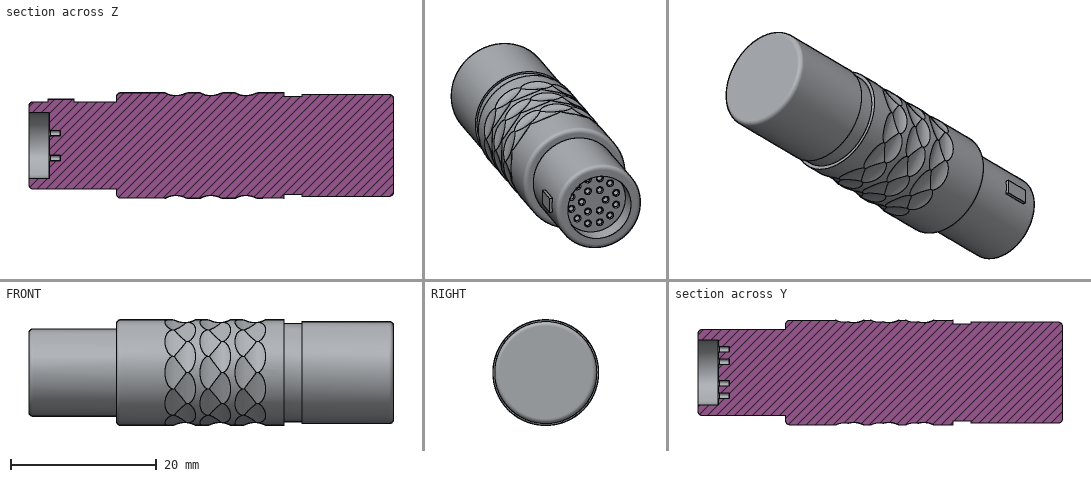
import cadquery as cq
import math

total_length = 50
nose_length = 12
body_end = 35
rear_start = 37.4

nose_radius = 6
body_radius = 7.25
neck_radius = 6.75
rear_radius = 7
nose_rounding = 0.6
edge_rounding = 0.6

socket_radius = 4.5
socket_depth = 2.8
contact_mouth_radius = 0.5
contact_bore_radius = 0.35
contact_mouth_depth = contact_mouth_radius - contact_bore_radius
contact_bore_depth = 1.5
contact_rings = [
    (12, 3.3, 15),
    (6, 1.7, 0),
]

key_start = 2.6
key_end = 6.2
key_width = 2
key_top = 6.35

band_count = 3
band_pitch = 4.8
first_ring_x = 20.15
ring_spacing = 1.2
scallops_per_ring = 10
scallop_depth = 0.4
scallop_cutter_radius = 3
scallop_cutter_length = body_radius


def cylinder_along_x(start, end, radius):
    return cq.Workplane("YZ", origin=(start, 0, 0)).circle(radius).extrude(end - start)


def make_shell():
    nose = cylinder_along_x(0, nose_length, nose_radius).faces("<X").edges().fillet(nose_rounding)
    body = cylinder_along_x(nose_length, body_end, body_radius).faces("<X").edges().fillet(edge_rounding)
    neck = cylinder_along_x(body_end, rear_start, neck_radius)
    rear = cylinder_along_x(rear_start, total_length, rear_radius).faces(">X").edges().fillet(edge_rounding)
    return nose.union(body).union(neck).union(rear)


def make_key():
    root = (socket_radius + nose_radius) / 2
    return cq.Workplane("XY").box(
        key_end - key_start, key_top - root, key_width, centered=(False, False, True)
    ).translate((key_start, root, 0))


def make_grip_cutters():
    cutter_offset = body_radius - scallop_depth + scallop_cutter_radius
    angle_step = 360 / scallops_per_ring
    cutters = []
    for band in range(band_count):
        for ring in range(2):
            ring_x = first_ring_x + band * band_pitch + ring * ring_spacing
            for index in range(scallops_per_ring):
                cutter = cq.Solid.makeCylinder(
                    scallop_cutter_radius,
                    scallop_cutter_length,
                    cq.Vector(ring_x, cutter_offset, -scallop_cutter_length / 2),
                )
                angle = (index + ring / 2) * angle_step
                cutters.append(cutter.rotate(cq.Vector(0, 0, 0), cq.Vector(1, 0, 0), angle))
    return cutters


def make_contact_holes():
    inward = cq.Vector(1, 0, 0)
    holes = []
    for count, pitch_radius, first_angle in contact_rings:
        for index in range(count):
            angle = math.radians(first_angle + index * 360 / count)
            center = cq.Vector(socket_depth, pitch_radius * math.cos(angle), pitch_radius * math.sin(angle))
            countersink = cq.Solid.makeCone(
                contact_mouth_radius, contact_bore_radius, contact_mouth_depth, center, inward
            )
            bore = cq.Solid.makeCylinder(contact_bore_radius, contact_bore_depth, center, inward)
            holes += [countersink, bore]
    return holes


shell = make_shell().union(make_key()).cut(cylinder_along_x(0, socket_depth, socket_radius))
connector = shell.val()
for cutter in make_grip_cutters() + make_contact_holes():
    connector = connector.cut(cutter)
result = cq.Workplane(connector)